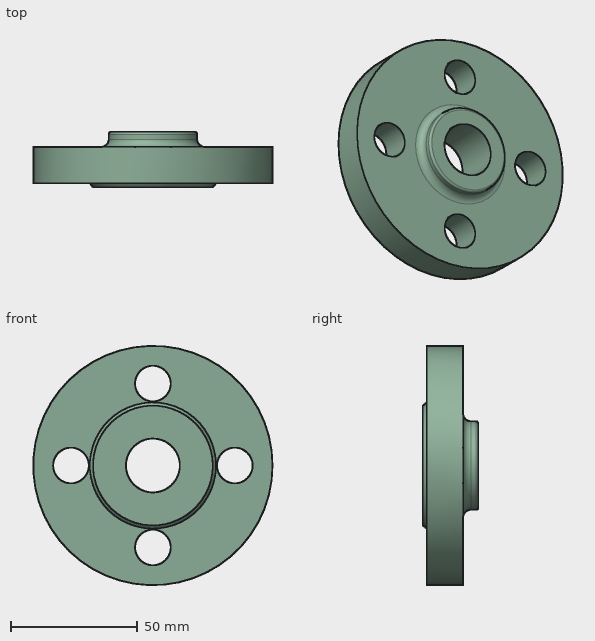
import cadquery as cq

flange_diameter = 95.0
flange_thickness = 14.5

face_base_diameter = 50.1
face_tip_diameter = 47.5
face_height = 1.5

hub_diameter = 35.15
hub_height = 6.0
hub_edge_radius = 0.95
hub_root_radius = 3.0

bore_diameter = 21.3
bolt_hole_diameter = 14.1
bolt_circle_diameter = 65.0
bolt_count = 4

total_length = face_height + flange_thickness + hub_height


def disc(diameter, start, length):
    """Cylinder about the Y axis, running from y = start towards +Y."""
    return cq.Workplane("XZ", origin=(0, start, 0)).circle(diameter / 2).extrude(-length)


def make_raised_face():
    """Cone frustum that widens towards the flange."""
    return (
        cq.Workplane("XZ")
        .circle(face_tip_diameter / 2)
        .workplane(offset=-face_height)
        .circle(face_base_diameter / 2)
        .loft()
    )


def make_flange_with_hub():
    flange_back = face_height + flange_thickness
    flange = disc(flange_diameter, face_height, flange_thickness)
    hub = disc(hub_diameter, flange_back, hub_height)
    hub_circles = flange.union(hub).edges(cq.selectors.RadiusNthSelector(0))
    body = hub_circles.edges("<Y").fillet(hub_root_radius)
    return body.faces(">Y").edges().fillet(hub_edge_radius)


def make_holes():
    bore = disc(bore_diameter, 0, total_length)
    bolt_holes = (
        cq.Workplane("XZ")
        .polarArray(bolt_circle_diameter / 2, 0, 360, bolt_count)
        .circle(bolt_hole_diameter / 2)
        .extrude(-total_length)
    )
    return bore.union(bolt_holes)


result = make_flange_with_hub().union(make_raised_face()).cut(make_holes())